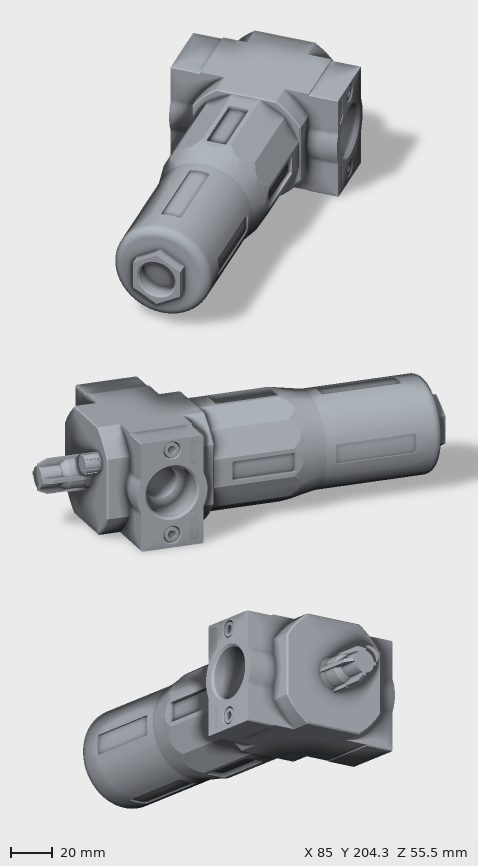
import cadquery as cq
import math


BLOCK_SIZE = 55.0
BLOCK_HALF = BLOCK_SIZE / 2
CORNER_FLAT_HALF = 15.2
CORNER_BULGE = 0.9
BLOCK_EDGE = 0.7
BORE_DIAMETER = 16.4

PLATE_THICKNESS = 15.0
PLATE_WIDTH = 32.0
PLATE_HEIGHT = 55.0
PLATE_CENTER_Z = -0.5
PLATE_BOSS_DIAMETER = 36.0
PLATE_EDGE = 0.5
PORT_DIAMETER = 25.6
PORT_MOUTH_CHAMFER = 1.1
LABEL_DEPTH = 0.3
LABEL_INNER_Y = -9.0
LABEL_OUTER_Y = -13.7
LABEL_NEAR_Z = 12.5
LABEL_FAR_Z = 25.3
LABEL_BEVEL_Y = 3.2
LABEL_BEVEL_Z = 2.7
LABEL_CORNER = 0.7

SCREW_OFFSET = 21.5
COUNTERBORE_DIAMETER = 8.5
COUNTERBORE_DEPTH = 6.0
COUNTERBORE_CHAMFER = 0.35
HEAD_DIAMETER = 7.3
HEAD_RECESS = 0.5
SHANK_DIAMETER = 5.0
SHANK_DEPTH_IN_BLOCK = 8.0
SOCKET_DIAMETER = 4.13
SOCKET_DEPTH = 2.0
SOCKET_ANGLE = 118.0

GUARD_SIDES = 12
GUARD_FLAT_DISTANCE = 53.4
GUARD_DIAMETER = 48.7
GRIP_END_Y = -68.5
TAPER_END_Y = -86.0
GUARD_END_Y = -146.2
GUARD_END_FILLET = 4.35
GRIP_FLOOR_DIAMETER = 49.6
BOWL_FLOOR_DIAMETER = 46.7
WINDOW_WIDTH = 10.0
WINDOW_CORNER = 1.0
GRIP_WINDOW_Y = (-69.3, -37.2)
BOWL_WINDOW_Y = (-132.2, -91.4)

HEX_FLAT_DISTANCE = 24.0
HEX_HEIGHT = 5.9
DRAIN_DIAMETER = 18.0
DRAIN_DEPTH = 8.0
DRAIN_CHAMFER = 1.0

DOME_HEIGHT = 24.7
DOME_NECK_RADIUS = 5.5
DOME_SHOULDER_RADIUS = 6.0
DOME_BODY_RADIUS = 7.5
DOME_BASE_RADIUS = 8.5
DOME_BASE_HEIGHT = 2.0
DOME_BODY_HEIGHT = 10.5
DOME_SHOULDER_HEIGHT = 13.8
FIN_RADIUS = 8.75
FIN_TIP_RADIUS = 6.7
FIN_TIP_LENGTH = 4.6
FIN_THICKNESS = 1.75
FIN_STEP_RADIUS = 9.2
FIN_STEP_HEIGHT = 9.8

KNOB_X = -15.7
KNOB_Z = 10.0
KNOB_DIAMETER = 10.0
KNOB_HEIGHT = 8.0
KNOB_CHAMFER = 0.5
KNOB_BASE_HEIGHT = 1.0
KNOB_GROOVES = 8
KNOB_GROOVE_WIDTH = 1.6
KNOB_GROOVE_DEPTH = 0.6
KNOB_GROOVE_PHASE = 11.0

SIDES = (-1, 1)
PLATE_FACE_X = BLOCK_HALF + PLATE_THICKNESS
SCREW_HEIGHTS = [sign * SCREW_OFFSET for sign in SIDES]


def section_at(y):
    """Workplane across the bowl axis; local X is X, local Y is Z, extruding toward -Y."""
    return cq.Workplane("XZ", origin=(0, y, 0))


def along_x(x_start, x_end, diameter, y=0, z=0):
    """Cylinder parallel to X between two X positions."""
    plane = cq.Workplane("YZ", origin=(x_start, 0, 0))
    return plane.center(y, z).circle(diameter / 2).extrude(x_end - x_start)


def turned(points):
    """Solid of revolution about the Y axis from (radius, y) points."""
    return cq.Workplane("XY").polyline(points).close().revolve(360, (0, 0, 0), (0, 1, 0))


def make_housing():
    """Block with rounded corners, a square-cornered band and the filler knob."""
    flat = CORNER_FLAT_HALF
    middle = ((BLOCK_HALF + flat) / 2) + CORNER_BULGE / math.sqrt(2)
    outline = (
        section_at(BLOCK_HALF)
        .moveTo(BLOCK_HALF, -flat)
        .lineTo(BLOCK_HALF, flat)
        .threePointArc((middle, middle), (flat, BLOCK_HALF))
        .lineTo(-flat, BLOCK_HALF)
        .threePointArc((-middle, middle), (-BLOCK_HALF, flat))
        .lineTo(-BLOCK_HALF, -flat)
        .threePointArc((-middle, -middle), (-flat, -BLOCK_HALF))
        .lineTo(flat, -BLOCK_HALF)
        .threePointArc((middle, -middle), (BLOCK_HALF, -flat))
        .close()
    )
    block = outline.extrude(BLOCK_SIZE).faces("|Y").edges().chamfer(BLOCK_EDGE)
    band = cq.Workplane("XY").box(BLOCK_SIZE, PLATE_WIDTH, BLOCK_SIZE)
    housing = block.union(band)
    housing = housing.cut(along_x(-BLOCK_HALF, BLOCK_HALF, BORE_DIAMETER))
    for side in SIDES:
        for z in SCREW_HEIGHTS:
            inner_x = side * (BLOCK_HALF - SHANK_DEPTH_IN_BLOCK)
            housing = housing.cut(along_x(inner_x, side * BLOCK_HALF, SHANK_DIAMETER, z=z))
    return housing.union(make_knob())


def make_knob():
    """Knob with lengthwise grip grooves."""
    knob = section_at(BLOCK_HALF).circle(KNOB_DIAMETER / 2).extrude(-KNOB_HEIGHT)
    knob = knob.faces(">Y").edges().chamfer(KNOB_CHAMFER)
    groove = (
        section_at(BLOCK_HALF + KNOB_BASE_HEIGHT)
        .center(KNOB_DIAMETER / 2, 0)
        .rect(2 * KNOB_GROOVE_DEPTH, KNOB_GROOVE_WIDTH)
        .extrude(-KNOB_HEIGHT)
    )
    for index in range(KNOB_GROOVES):
        angle = KNOB_GROOVE_PHASE + index * 360 / KNOB_GROOVES
        knob = knob.cut(groove.rotate((0, 0, 0), (0, 1, 0), -angle))
    return knob.translate((KNOB_X, 0, KNOB_Z))


def make_label_pocket(sign):
    """Shallow bevelled pocket on the -X plate face, above (+1) or below (-1) the port."""
    outline = [
        (LABEL_INNER_Y, LABEL_FAR_Z),
        (LABEL_OUTER_Y, LABEL_FAR_Z),
        (LABEL_OUTER_Y, LABEL_NEAR_Z),
        (LABEL_INNER_Y - LABEL_BEVEL_Y, LABEL_NEAR_Z),
        (LABEL_INNER_Y, LABEL_NEAR_Z + LABEL_BEVEL_Z),
    ]
    points = [(y, PLATE_CENTER_Z + sign * z) for y, z in outline]
    plane = cq.Workplane("YZ", origin=(-PLATE_FACE_X, 0, 0))
    return plane.polyline(points).close().extrude(LABEL_DEPTH).edges("|X").fillet(LABEL_CORNER)


def chamfer_mouth(plate, diameter, size, z=0):
    """Bevel the mouth of a round hole in the -X plate face."""
    cone = cq.Solid.makeCone(
        diameter / 2 + size,
        diameter / 2,
        size,
        pnt=cq.Vector(-PLATE_FACE_X, 0, z),
        dir=cq.Vector(1, 0, 0),
    )
    return plate.cut(cq.Workplane(cone))


def make_plate():
    """Port plate on the -X side."""
    plate = cq.Workplane("XY").box(PLATE_THICKNESS, PLATE_WIDTH, PLATE_HEIGHT)
    plate = plate.translate((-BLOCK_HALF - PLATE_THICKNESS / 2, 0, PLATE_CENTER_Z))
    plate = plate.union(along_x(-PLATE_FACE_X, -BLOCK_HALF, PLATE_BOSS_DIAMETER, z=PLATE_CENTER_Z))
    plate = plate.edges("|X").chamfer(PLATE_EDGE)
    plate = plate.cut(along_x(-PLATE_FACE_X, -BLOCK_HALF, PORT_DIAMETER))
    plate = chamfer_mouth(plate, PORT_DIAMETER, PORT_MOUTH_CHAMFER)
    for z in SCREW_HEIGHTS:
        seat_x = -PLATE_FACE_X + COUNTERBORE_DEPTH
        plate = plate.cut(along_x(-PLATE_FACE_X, seat_x, COUNTERBORE_DIAMETER, z=z))
        plate = chamfer_mouth(plate, COUNTERBORE_DIAMETER, COUNTERBORE_CHAMFER, z)
        plate = plate.cut(along_x(seat_x, -BLOCK_HALF, SHANK_DIAMETER, z=z))
    for sign in SIDES:
        plate = plate.cut(make_label_pocket(sign))
    return plate


def make_screw(z):
    """Plate screw on the -X side at the given height."""
    top_x = -PLATE_FACE_X + HEAD_RECESS
    seat_x = -PLATE_FACE_X + COUNTERBORE_DEPTH
    tip_x = -BLOCK_HALF + SHANK_DEPTH_IN_BLOCK
    socket_radius = SOCKET_DIAMETER / 2
    cone_depth = socket_radius / math.tan(math.radians(SOCKET_ANGLE / 2))
    profile = [
        (top_x + SOCKET_DEPTH + cone_depth, 0),
        (top_x + SOCKET_DEPTH, socket_radius),
        (top_x, socket_radius),
        (top_x, HEAD_DIAMETER / 2),
        (seat_x, HEAD_DIAMETER / 2),
        (seat_x, SHANK_DIAMETER / 2),
        (tip_x, SHANK_DIAMETER / 2),
        (tip_x, 0),
    ]
    screw = cq.Workplane("XY").polyline(profile).close().revolve(360, (0, 0, 0), (1, 0, 0))
    return screw.translate((0, 0, z))


def make_window(y_low, y_high, floor_diameter):
    """Rounded window in the +Z side, down to a round floor about the bowl axis."""
    length = y_high - y_low
    cutter = (
        cq.Workplane("XY")
        .center(0, (y_low + y_high) / 2)
        .rect(WINDOW_WIDTH, length)
        .extrude(GUARD_FLAT_DISTANCE)
        .edges("|Z")
        .fillet(WINDOW_CORNER)
    )
    core = section_at(y_high).circle(floor_diameter / 2).extrude(length)
    return cutter.cut(core)


def make_guard():
    """Faceted bowl guard with its tapered waist, windows and hexagonal drain end."""
    corner_radius = GUARD_FLAT_DISTANCE / 2 / math.cos(math.pi / GUARD_SIDES)
    facet_turn = 180 / GUARD_SIDES
    guard_length = -BLOCK_HALF - GUARD_END_Y
    envelope = turned([
        (0, -BLOCK_HALF),
        (corner_radius, -BLOCK_HALF),
        (corner_radius, GRIP_END_Y),
        (GUARD_DIAMETER / 2, TAPER_END_Y),
        (GUARD_DIAMETER / 2, GUARD_END_Y),
        (0, GUARD_END_Y),
    ])
    envelope = envelope.faces("<Y").edges().fillet(GUARD_END_FILLET)
    prism = (
        section_at(-BLOCK_HALF)
        .polygon(GUARD_SIDES, 2 * corner_radius)
        .extrude(guard_length)
        .rotate((0, 0, 0), (0, 1, 0), facet_turn)
    )
    guard = envelope.intersect(prism)

    hex_end = (
        section_at(GUARD_END_Y)
        .polygon(6, HEX_FLAT_DISTANCE / math.cos(math.pi / 6))
        .extrude(HEX_HEIGHT)
        .rotate((0, 0, 0), (0, 1, 0), 30)
    )
    guard = guard.union(hex_end)
    drain_y = GUARD_END_Y - HEX_HEIGHT
    guard = guard.cut(section_at(drain_y).circle(DRAIN_DIAMETER / 2).extrude(-DRAIN_DEPTH))
    guard = guard.faces("<Y").edges("%CIRCLE").chamfer(DRAIN_CHAMFER)

    grip_window = make_window(*GRIP_WINDOW_Y, GRIP_FLOOR_DIAMETER)
    bowl_window = make_window(*BOWL_WINDOW_Y, BOWL_FLOOR_DIAMETER)
    for window in (grip_window, bowl_window):
        for quarter in range(4):
            guard = guard.cut(window.rotate((0, 0, 0), (0, 1, 0), 90 * quarter))
    return guard


def make_fin(foot_radius):
    """Fin of the drip dome in the +X direction; its foot may be wider than the fin."""
    outline = [
        (0, 0),
        (foot_radius, 0),
        (foot_radius, FIN_STEP_HEIGHT),
        (FIN_RADIUS, FIN_STEP_HEIGHT),
        (FIN_RADIUS, DOME_HEIGHT - FIN_TIP_LENGTH),
        (FIN_TIP_RADIUS, DOME_HEIGHT),
        (0, DOME_HEIGHT),
    ]
    if foot_radius == FIN_RADIUS:
        del outline[2:4]
    return cq.Workplane("XY").polyline(outline).close().extrude(FIN_THICKNESS / 2, both=True)


def make_dome():
    """Stepped drip dome carrying four fins."""
    dome = turned([
        (0, 0),
        (DOME_BASE_RADIUS, 0),
        (DOME_BODY_RADIUS, DOME_BASE_HEIGHT),
        (DOME_BODY_RADIUS, DOME_BODY_HEIGHT),
        (DOME_SHOULDER_RADIUS, DOME_SHOULDER_HEIGHT),
        (DOME_NECK_RADIUS, DOME_SHOULDER_HEIGHT),
        (DOME_NECK_RADIUS, DOME_HEIGHT),
        (0, DOME_HEIGHT),
    ])
    foot_radii = [FIN_RADIUS, FIN_STEP_RADIUS, FIN_RADIUS, FIN_RADIUS]
    for quarter, foot_radius in enumerate(foot_radii):
        dome = dome.union(make_fin(foot_radius).rotate((0, 0, 0), (0, 1, 0), 90 * quarter))
    return dome.translate((0, BLOCK_HALF, 0))


housing = make_housing()
plate = make_plate()
plates = [plate, plate.mirror("YZ")]
screws = []
for height in SCREW_HEIGHTS:
    screw = make_screw(height)
    screws += [screw, screw.mirror("YZ")]
guard = make_guard()
dome = make_dome()

bodies = [housing, *plates, *screws, guard, dome]
result = cq.Compound.makeCompound([body.val() for body in bodies])